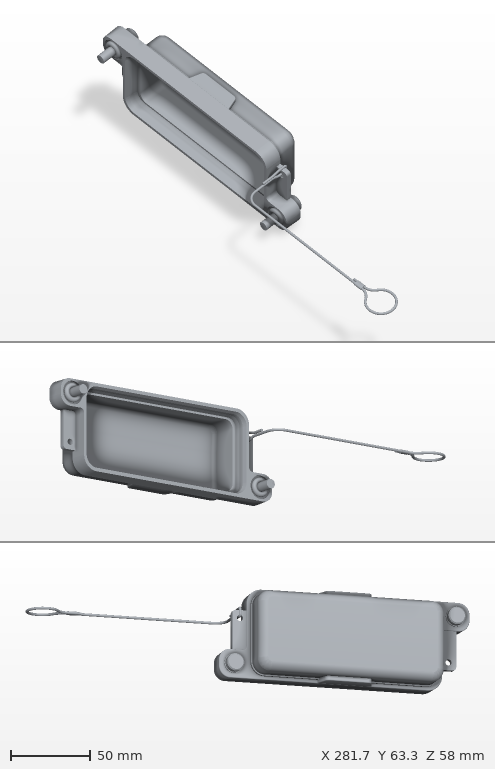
import cadquery as cq
import math


FLANGE_LENGTH = 129.0
FLANGE_HEIGHT = 58.0
FLANGE_THICKNESS = 12.5
FLANGE_CORNER = 9.9
FLANGE_DRAFT_ANGLE = 1.5
FLANGE_BACK_FILLET = 0.5
EAR_END_X = -82.5
EAR_HEIGHT = 18.5
EAR_CORNER = 7.3
EAR_INNER_FILLET = 2.5

SHELL_LENGTH = 122.2
SHELL_HEIGHT = 51.8
SHELL_CORNER = 8.0
SHELL_BACK = 31.3
SHELL_EDGE_FILLET = 5.4
BACK_CROWN = 0.8
WALL = 2.5
END_WALL = 3.0
SKIRT_MARGIN = 0.8
SKIRT_HEIGHT = 1.7
CAVITY_LENGTH = SHELL_LENGTH - 2 * END_WALL
CAVITY_HEIGHT = SHELL_HEIGHT - 2 * WALL
CAVITY_CORNER = SHELL_CORNER - WALL
SEAT_LENGTH = 124.5
SEAT_HEIGHT = 53.0
SEAT_CORNER = 8.2
SEAT_STEP_DEPTH = 3.0
SEAT_STEP_INSET = 0.8

GRIP_BASE = 36.0
GRIP_TOP = 29.3
GRIP_BACK = 22.5
GRIP_INSET = 0.15
GRIP_FILLET = 2.8
GRIP_EDGE_FILLET = 0.5

TAB_REACH = 73.8
TAB_END_Z = -15.0
TAB_THICKNESS = 3.5
TAB_BACK = 12.0
TAB_CORNER = 2.3
TAB_HOLE_X = -68.7
TAB_HOLE_Z = -9.9
TAB_HOLE_DIAMETER = 4.0

SCREW_X = -73.0
SCREW_Z = (FLANGE_HEIGHT - EAR_HEIGHT) / 2
PIN_RADIUS = 3.0
PIN_END = -11.3
HEAD_RADIUS = 5.5
HEAD_HEIGHT = 5.4
HEAD_CHAMFER = 0.8
WASHER_RADIUS = 6.2
WASHER_HEIGHT = 0.8
SEAL_CENTRE_RADIUS = 4.5
SEAL_THICKNESS = 3.5
SEAL_PROTRUSION = 1.5
RECESS_RADIUS = 7.5
RECESS_DEPTH = 1.7

CORD_DIAMETER = 1.7
STRAND_PITCH = 1.83
CORD_X = -TAB_HOLE_X
CORD_Z = 13.2
CORD_BEND = 8.0
CORD_RUN_Y = -22.2
KNOT_INNER_Z = 11.3
KNOT_OUTER_Z = 16.3
KNOT_BACK_OFFSET = 0.5
KNOT_MERGE_Y = 7.3
KNOT_TAIL_Y = -7.5
KNOT_TAIL_Z = 15.2
KNOT_BEND = 1.0
SLEEVE_START = 166.5
SLEEVE_END = 172.3
SLEEVE_WIDTH = 4.2
SLEEVE_THICKNESS = 2.0
CORD_TAIL_X = 163.3
LOOP_X = 188.5
LOOP_RADIUS = 9.9


def front_plane(y):
    return cq.Workplane("XZ", origin=(0, y, 0))


def rounded_block(length, height, corner, y_start, y_end):
    block = front_plane(y_start).rect(length, height).extrude(y_start - y_end)
    return block.edges("|Y").fillet(corner)


def disc(x, z, radius, y_start, y_end):
    return front_plane(y_start).center(x, z).circle(radius).extrude(y_start - y_end)


def with_half_turn(solid):
    """Add the copy of a solid turned half a turn about Y."""
    return solid.union(solid.rotate((0, 0, 0), (0, 1, 0), 180))


def crowned_block(length, height, corner, back, edge_fillet):
    """Block from the front face to a back face that bulges slightly across its height."""
    edge_y = back - BACK_CROWN
    half = height / 2
    block = (
        cq.Workplane("YZ", origin=(-length / 2, 0, 0))
        .moveTo(0, -half)
        .lineTo(edge_y, -half)
        .threePointArc((back, 0), (edge_y, half))
        .lineTo(0, half)
        .close()
        .extrude(length)
    )
    block = block.edges("|Y").fillet(corner)
    return block.faces(">Y").edges().fillet(edge_fillet)


def flange():
    """Plate with an ear at two opposite corners, drafted toward the open front."""
    side_x = FLANGE_LENGTH / 2
    long_z = FLANGE_HEIGHT / 2
    ear_inner_z = long_z - EAR_HEIGHT
    ear_arc_x = EAR_END_X + EAR_CORNER
    outline = front_plane(FLANGE_THICKNESS).moveTo(side_x - FLANGE_CORNER, long_z)
    for turn in (1, -1):
        outline = (
            outline
            .lineTo(turn * ear_arc_x, turn * long_z)
            .radiusArc((turn * EAR_END_X, turn * (long_z - EAR_CORNER)), -EAR_CORNER)
            .lineTo(turn * EAR_END_X, turn * (ear_inner_z + EAR_CORNER))
            .radiusArc((turn * ear_arc_x, turn * ear_inner_z), -EAR_CORNER)
            .lineTo(-turn * (side_x + EAR_INNER_FILLET), turn * ear_inner_z)
            .radiusArc((-turn * side_x, turn * (ear_inner_z - EAR_INNER_FILLET)), EAR_INNER_FILLET)
            .lineTo(-turn * side_x, -turn * (long_z - FLANGE_CORNER))
            .radiusArc((-turn * (side_x - FLANGE_CORNER), -turn * long_z), -FLANGE_CORNER)
        )
    plate = outline.close().extrude(FLANGE_THICKNESS, taper=FLANGE_DRAFT_ANGLE)
    return plate.faces(">Y").edges().fillet(FLANGE_BACK_FILLET)


def grip():
    half_base = GRIP_BASE / 2
    half_top = GRIP_TOP / 2
    half_height = FLANGE_HEIGHT / 2 - GRIP_INSET
    front_y = FLANGE_THICKNESS - FLANGE_BACK_FILLET
    block = (
        cq.Workplane("XY", origin=(0, 0, -half_height))
        .polyline([
            (-half_base, front_y),
            (half_base, front_y),
            (half_top, GRIP_BACK),
            (-half_top, GRIP_BACK),
        ])
        .close()
        .extrude(2 * half_height)
    )
    block = block.edges("|Z and >Y").fillet(GRIP_FILLET)
    return block.faces("|Z").edges("not <Y").fillet(GRIP_EDGE_FILLET)


def tabs():
    inner_x = -SHELL_LENGTH / 2
    tab = (
        front_plane(TAB_BACK - TAB_THICKNESS)
        .moveTo(inner_x, TAB_END_Z)
        .lineTo(-TAB_REACH, TAB_END_Z)
        .lineTo(-TAB_REACH, SCREW_Z)
        .lineTo(inner_x, SCREW_Z)
        .close()
        .extrude(-TAB_THICKNESS)
    )
    tab = tab.edges("|Y and <X and <Z").fillet(TAB_CORNER)
    hole = disc(TAB_HOLE_X, TAB_HOLE_Z, TAB_HOLE_DIAMETER / 2, 0, FLANGE_THICKNESS)
    return with_half_turn(tab.cut(hole))


def gasket_seat():
    """Recess inside the flange: tapered entry, straight wall, tapered bottom."""
    taper = math.degrees(math.atan(SEAT_STEP_INSET / SEAT_STEP_DEPTH))
    inset = 0
    depth = 0
    seat = cq.Workplane()
    for step_taper in (taper, 0, taper):
        outline = (
            cq.Sketch()
            .rect(SEAT_LENGTH - 2 * inset, SEAT_HEIGHT - 2 * inset)
            .vertices()
            .fillet(SEAT_CORNER - inset)
        )
        step = cq.Workplane("ZX", origin=(0, depth, 0)).transformed(rotate=(0, 0, 90))
        seat = seat.add(step.placeSketch(outline).extrude(SEAT_STEP_DEPTH, taper=step_taper))
        depth += SEAT_STEP_DEPTH
        if step_taper:
            inset += SEAT_STEP_INSET
    return seat.combine()


def cavity():
    hollow = crowned_block(CAVITY_LENGTH, CAVITY_HEIGHT, CAVITY_CORNER, SHELL_BACK - WALL, WALL)
    return gasket_seat().union(hollow)


def screws():
    head_base = FLANGE_THICKNESS + WASHER_HEIGHT
    head_top = FLANGE_THICKNESS + HEAD_HEIGHT
    seal_y = SEAL_THICKNESS / 2 - SEAL_PROTRUSION
    seal = cq.Workplane(
        cq.Solid.makeTorus(
            SEAL_CENTRE_RADIUS,
            SEAL_THICKNESS / 2,
            cq.Vector(SCREW_X, seal_y, SCREW_Z),
            cq.Vector(0, 1, 0),
        )
    )
    pin = disc(SCREW_X, SCREW_Z, PIN_RADIUS, PIN_END, RECESS_DEPTH)
    washer = disc(SCREW_X, SCREW_Z, WASHER_RADIUS, FLANGE_THICKNESS, head_base)
    head = disc(SCREW_X, SCREW_Z, HEAD_RADIUS, head_base, head_top)
    head = head.faces(">Y").edges().chamfer(HEAD_CHAMFER)
    return with_half_turn(pin.union(seal).union(washer).union(head))


def cover():
    skirt = rounded_block(
        SHELL_LENGTH + 2 * SKIRT_MARGIN,
        SHELL_HEIGHT + 2 * SKIRT_MARGIN,
        SHELL_CORNER + SKIRT_MARGIN,
        FLANGE_THICKNESS,
        FLANGE_THICKNESS + SKIRT_HEIGHT,
    )
    shell = crowned_block(SHELL_LENGTH, SHELL_HEIGHT, SHELL_CORNER, SHELL_BACK, SHELL_EDGE_FILLET)
    recess = disc(SCREW_X, SCREW_Z, RECESS_RADIUS, 0, RECESS_DEPTH)
    outside = flange().union(skirt).union(shell).union(grip()).union(tabs())
    return outside.cut(cavity()).cut(with_half_turn(recess)).union(screws())


def cord_run():
    """Cord from the tab down, along X, round the end loop and back into the sleeve."""
    upper_y = CORD_RUN_Y + STRAND_PITCH
    loop_y = CORD_RUN_Y + STRAND_PITCH / 2
    reach = LOOP_X - SLEEVE_END
    gap = STRAND_PITCH / 2
    neck_radius = (reach**2 + gap**2 - LOOP_RADIUS**2) / (2 * (LOOP_RADIUS - gap))
    neck_angle = math.asin(reach / (neck_radius + LOOP_RADIUS))
    touch_x = SLEEVE_END + neck_radius * math.sin(neck_angle)
    touch_rise = gap + neck_radius * (1 - math.cos(neck_angle))
    path = (
        cq.Workplane("XY", origin=(0, 0, CORD_Z))
        .moveTo(CORD_X, 0)
        .lineTo(CORD_X, CORD_RUN_Y + CORD_BEND)
        .tangentArcPoint((CORD_X + CORD_BEND, CORD_RUN_Y), relative=False)
        .lineTo(SLEEVE_END, CORD_RUN_Y)
        .tangentArcPoint((touch_x, loop_y - touch_rise), relative=False)
        .threePointArc((LOOP_X + LOOP_RADIUS, loop_y), (touch_x, loop_y + touch_rise))
        .tangentArcPoint((SLEEVE_END, upper_y), relative=False)
        .lineTo(CORD_TAIL_X, upper_y)
    )
    section = cq.Workplane("XZ", origin=(CORD_X, 0, CORD_Z)).circle(CORD_DIAMETER / 2)
    return section.sweep(path)


def cord_knot():
    """Cord through the tab hole, round the tab end and back beside itself."""
    back_y = TAB_BACK + KNOT_BACK_OFFSET
    turn_y = back_y - KNOT_BEND
    path = (
        cq.Workplane("YZ", origin=(CORD_X, 0, 0))
        .moveTo(0, CORD_Z)
        .spline([(KNOT_MERGE_Y, KNOT_INNER_Z)], tangents=[(1, 0), (1, 0)], includeCurrent=True)
        .lineTo(turn_y, KNOT_INNER_Z)
        .tangentArcPoint((back_y, KNOT_INNER_Z + KNOT_BEND), relative=False)
        .lineTo(back_y, KNOT_OUTER_Z - KNOT_BEND)
        .tangentArcPoint((turn_y, KNOT_OUTER_Z), relative=False)
        .lineTo(KNOT_MERGE_Y, KNOT_OUTER_Z)
        .spline([(0, KNOT_TAIL_Z)], tangents=[(-1, 0), (-1, 0)], includeCurrent=True)
        .lineTo(KNOT_TAIL_Y, KNOT_TAIL_Z)
    )
    section = cq.Workplane("XZ", origin=(CORD_X, 0, CORD_Z)).circle(CORD_DIAMETER / 2)
    return section.sweep(path)


def sleeve():
    return (
        cq.Workplane("YZ", origin=(SLEEVE_START, CORD_RUN_Y + STRAND_PITCH / 2, CORD_Z))
        .slot2D(SLEEVE_WIDTH, SLEEVE_THICKNESS)
        .extrude(SLEEVE_END - SLEEVE_START)
    )


result = cover().union(cord_run()).union(cord_knot()).union(sleeve())